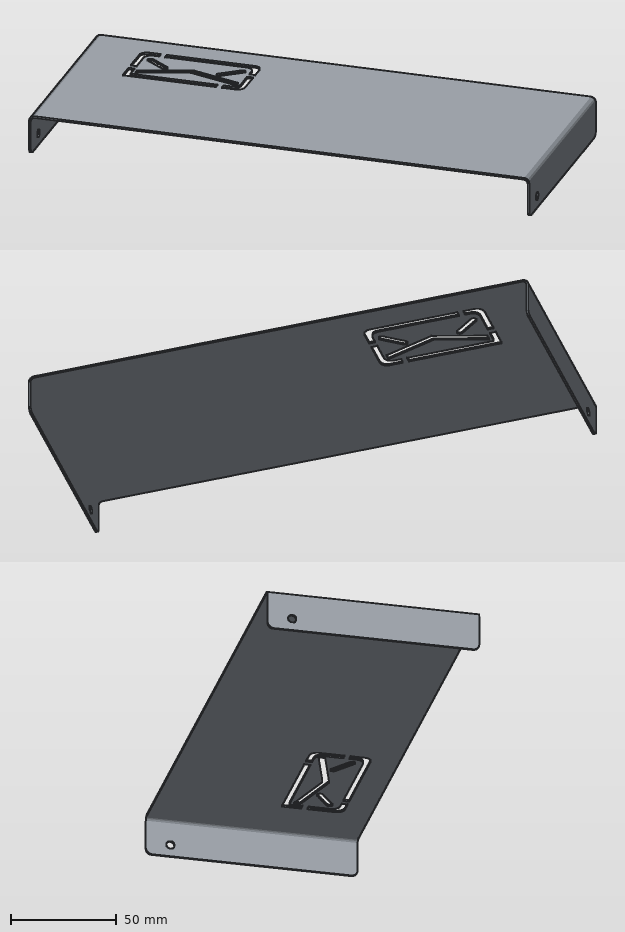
import cadquery as cq
import math

length = 249.0
width = 103.0
height = 20.0
thickness = 1.0
bend_radius = 3.0
flange_corner_radius = 3.0

hole_diameter = 4.0
hole_from_front = 12.0
hole_from_bottom = 6.0

envelope_length = 59.8
envelope_width = 30.0
envelope_from_left = 27.5
envelope_from_back = 13.5
envelope_corner_radius = 3.7
slot_width = 3.0
bridge_width = 3.0
bridge_from_left_front = 11.0
bridge_from_right_back = 12.0

fold_outer_x = 23.0
fold_outer_y = 6.7
fold_inner_x = 13.7
fold_inner_y = -0.2
chevron_half_span = 25.1
chevron_peak_y = 1.0
chevron_end_y = -7.0
chevron_depth = 3.2

envelope_x = -length / 2 + envelope_from_left + envelope_length / 2
envelope_y = width / 2 - envelope_from_back - envelope_width / 2


def make_sheet():
    """Bend the sheet and round the lower corners of its flanges."""
    outside = cq.Workplane("XY").box(length, width, height, centered=(True, True, False))
    outside = outside.edges("|Y and >Z").fillet(bend_radius)
    inside = cq.Workplane("XY").box(
        length - 2 * thickness, width, height - thickness, centered=(True, True, False)
    )
    inside = inside.edges("|Y and >Z").fillet(bend_radius - thickness)
    return outside.cut(inside).edges("|X and <Z").fillet(flange_corner_radius)


def rounded_block(block_length, block_width):
    """Block with three rounded upright edges and a sharp one at -X, -Y."""
    block = cq.Workplane("XY").box(block_length, block_width, height)
    return block.edges("|Z").edges(">X or >Y").fillet(envelope_corner_radius)


def make_border():
    """Rectangular slot interrupted by one bridge on each side."""
    border = rounded_block(envelope_length, envelope_width).cut(
        rounded_block(envelope_length - 2 * slot_width, envelope_width - 2 * slot_width)
    )
    slot_x = (envelope_length - slot_width) / 2
    slot_y = (envelope_width - slot_width) / 2
    bridge_size = 2 * slot_width
    for side, from_corner in ((-1, bridge_from_left_front), (1, bridge_from_right_back)):
        bridge_x = side * (envelope_length / 2 - from_corner)
        bridge_y = side * (envelope_width / 2 - from_corner)
        end_bridge = cq.Workplane("XY").box(bridge_size, bridge_width, height)
        long_bridge = cq.Workplane("XY").box(bridge_width, bridge_size, height)
        border = border.cut(end_bridge.translate((side * slot_x, bridge_y, 0)))
        border = border.cut(long_bridge.translate((bridge_x, -side * slot_y, 0)))
    return border


def make_fold_slot():
    """Round-ended sloping slot on the -X side of the envelope."""
    run = fold_outer_x - fold_inner_x
    drop = fold_outer_y - fold_inner_y
    angle = -math.degrees(math.atan2(drop, run))
    middle = (-(fold_outer_x + fold_inner_x) / 2, (fold_outer_y + fold_inner_y) / 2)
    slot = cq.Workplane("XY").center(*middle).slot2D(math.hypot(run, drop) + slot_width, slot_width, angle)
    return slot.extrude(height / 2, both=True)


def make_chevron():
    """Shallow inverted V with upright ends."""
    points = [
        (-chevron_half_span, chevron_end_y),
        (0, chevron_peak_y),
        (chevron_half_span, chevron_end_y),
        (chevron_half_span, chevron_end_y - chevron_depth),
        (0, chevron_peak_y - chevron_depth),
        (-chevron_half_span, chevron_end_y - chevron_depth),
    ]
    return cq.Workplane("XY").polyline(points).close().extrude(height / 2, both=True)


def make_hole():
    """Pin running the full length, through both flanges."""
    pin = cq.Workplane("YZ").center(-width / 2 + hole_from_front, hole_from_bottom)
    return pin.circle(hole_diameter / 2).extrude(length / 2, both=True)


fold_slot = make_fold_slot()
result = make_sheet().cut(make_hole())
for cutter in (make_border(), fold_slot, fold_slot.mirror("YZ"), make_chevron()):
    result = result.cut(cutter.translate((envelope_x, envelope_y, height)))